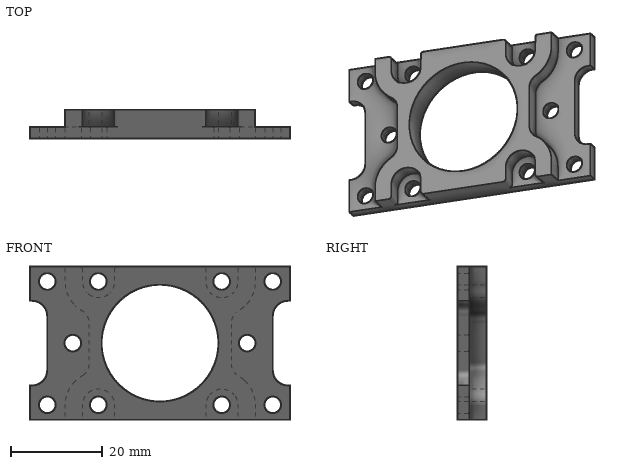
import cadquery as cq
import math

length = 56.9
height = 33.5
total_depth = 6.35
flange_depth = 2.55

bore_diameter = 25.5
hole_diameter = 3.6
screw_offset = 13.5
corner_hole_x = 24.65
middle_hole_x = 19.05

end_recess_depth = 3.75
end_recess_height = 18.45
end_recess_radius = 3.25

boss_radius = 7.31
waist_x = 15.5
waist_fillet = 3.2

slot_radius = 3.5
slot_mouth_fillet = 0.6

half_height = height / 2
screw_points = [(sx * screw_offset, sz * screw_offset) for sx in (-1, 1) for sz in (-1, 1)]


def prism(width, tall, start_y, depth, x=0, z=0):
    """Rectangular block centred at (x, z) and extending from start_y toward +Y."""
    return cq.Workplane("XY").box(width, depth, tall).translate((x, start_y + depth / 2, z))


def cylinders(points, radius, start_y, depth):
    """Cylinders along +Y at the given (x, z) points."""
    plane = cq.Workplane("XZ", origin=(0, start_y, 0))
    return plane.pushPoints(points).circle(radius).extrude(-depth)


def make_flange():
    flange = prism(length, height, 0, flange_depth)
    for side in (-1, 1):
        recess = prism(2 * end_recess_depth, end_recess_height, 0, flange_depth, side * length / 2)
        flange = flange.cut(recess.edges("|Y").fillet(end_recess_radius))
    return flange


def body_outline():
    """Waisted outline, with bosses blended into the waist by tangent fillets."""
    fillet_x = waist_x + waist_fillet
    dx = fillet_x - screw_offset
    center_distance = boss_radius + waist_fillet
    dz = math.sqrt(center_distance**2 - dx**2)
    fillet_z = screw_offset - dz
    boss_share = boss_radius / center_distance
    join_x = screw_offset + dx * boss_share
    join_z = screw_offset - dz * boss_share

    join_angle = math.atan2(dz, dx)
    boss_mid_x = screw_offset + boss_radius * math.cos(join_angle / 2)
    boss_mid_z = screw_offset - boss_radius * math.sin(join_angle / 2)
    fillet_mid_x = fillet_x - waist_fillet * math.cos(join_angle / 2)
    fillet_mid_z = fillet_z + waist_fillet * math.sin(join_angle / 2)
    boss_x = screw_offset + boss_radius

    quarter = (
        cq.Workplane("XZ", origin=(0, flange_depth, 0))
        .moveTo(0, 0)
        .lineTo(waist_x, 0)
        .lineTo(waist_x, fillet_z)
        .threePointArc((fillet_mid_x, fillet_mid_z), (join_x, join_z))
        .threePointArc((boss_mid_x, boss_mid_z), (boss_x, screw_offset))
        .lineTo(boss_x, half_height)
        .lineTo(0, half_height)
        .close()
        .extrude(flange_depth - total_depth)
    )
    half = quarter.union(quarter.mirror("YZ"))
    return half.union(half.mirror("XY")).clean()


def make_body():
    body_depth = total_depth - flange_depth
    body = body_outline()
    slot_length = half_height - screw_offset
    slot_middle = screw_offset + slot_length / 2
    body = body.cut(cylinders(screw_points, slot_radius, flange_depth, body_depth))
    for x, z in screw_points:
        slot_z = math.copysign(slot_middle, z)
        body = body.cut(prism(2 * slot_radius, slot_length, flange_depth, body_depth, x, slot_z))
        edge_z = math.copysign(half_height, z)
        middle_y = flange_depth + body_depth / 2
        for side in (-1, 1):
            mouth = cq.selectors.NearestToPointSelector((x + side * slot_radius, middle_y, edge_z))
            body = body.edges("|Y").edges(mouth).fillet(slot_mouth_fillet)
    return body


corner_points = [(sx * corner_hole_x, sz * screw_offset) for sx in (-1, 1) for sz in (-1, 1)]
middle_points = [(-middle_hole_x, 0), (middle_hole_x, 0)]
hole_points = screw_points + corner_points + middle_points

result = make_flange().union(make_body())
result = result.cut(cylinders([(0, 0)], bore_diameter / 2, 0, total_depth))
result = result.cut(cylinders(hole_points, hole_diameter / 2, 0, total_depth))